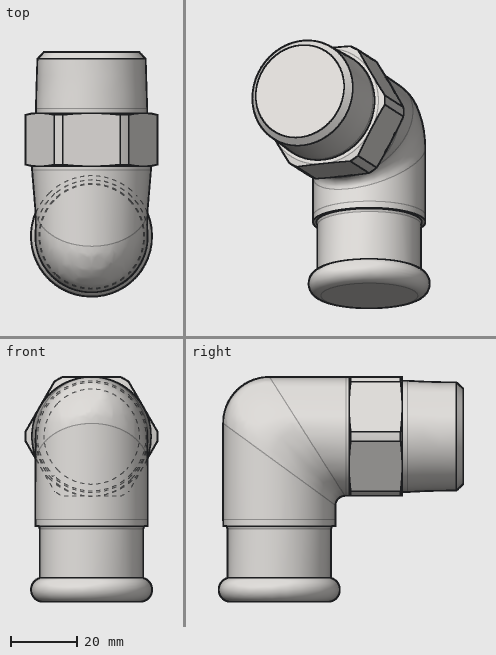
import cadquery as cq
import math


MALE_END_Y = 55.6
THREAD_LENGTH = 18.5
THREAD_RUNOUT = 1.5
THREAD_DIAMETER = 33.7
THREAD_START_DIAMETER = 32.8
MALE_END_DIAMETER = 28.8
MALE_CHAMFER_LENGTH = 2.1

HEX_FRONT_Y = MALE_END_Y - THREAD_LENGTH
HEX_LENGTH = 16.0
HEX_BACK_Y = HEX_FRONT_Y - HEX_LENGTH
HEX_ACROSS_FLATS = 36.0
HEX_TURNED_DIAMETER = 40.0
HEX_CHAMFER_LENGTH = 0.5

COLLAR_DIAMETER = 36.0
COLLAR_LENGTH = 1.1
COLLAR_BACK_Y = HEX_BACK_Y - COLLAR_LENGTH
LEG_DIAMETER = 34.0
OUTER_BEND_RADIUS = 14.0
INNER_BEND_RADIUS = 2.8
BEND_STEPS = 6

BODY_RIM_TOP_Z = -25.0
BODY_RIM_BOTTOM_Z = -27.1
WELD_LENGTH = 0.8
WELD_WIDTH = 0.25
TUBE_DIAMETER = 31.4
LEG_END_Z = -50.0
BEAD_DIAMETER = 36.67
BEAD_RADIUS = 3.7


def revolve_about_y(profile):
    """Solid of revolution about Y from (radius, y) points."""
    return cq.Workplane("XY").polyline(profile).close().revolve(360, (0, 0, 0), (0, 1, 0))


def male_branch():
    """Tapered thread envelope with a chamfered tip, plus the collar behind the hexagon."""
    taper_start_y = MALE_END_Y - MALE_CHAMFER_LENGTH
    taper_end_y = HEX_FRONT_Y + THREAD_RUNOUT
    return revolve_about_y([
        (0, COLLAR_BACK_Y),
        (COLLAR_DIAMETER / 2, COLLAR_BACK_Y),
        (COLLAR_DIAMETER / 2, HEX_BACK_Y),
        (THREAD_DIAMETER / 2, HEX_BACK_Y),
        (THREAD_DIAMETER / 2, taper_end_y),
        (THREAD_START_DIAMETER / 2, taper_start_y),
        (MALE_END_DIAMETER / 2, MALE_END_Y),
        (0, MALE_END_Y),
    ])


def hexagon():
    """Wrench hexagon with turned corners and shallow conical ends."""
    across_corners = HEX_ACROSS_FLATS / math.cos(math.pi / 6)
    prism = (
        cq.Workplane("XZ", origin=(0, HEX_FRONT_Y, 0))
        .polygon(6, across_corners)
        .extrude(HEX_LENGTH)
    )
    face_radius = HEX_ACROSS_FLATS / 2
    turned_radius = HEX_TURNED_DIAMETER / 2
    turned_blank = revolve_about_y([
        (0, HEX_BACK_Y),
        (face_radius, HEX_BACK_Y),
        (turned_radius, HEX_BACK_Y + HEX_CHAMFER_LENGTH),
        (turned_radius, HEX_FRONT_Y - HEX_CHAMFER_LENGTH),
        (face_radius, HEX_FRONT_Y),
        (0, HEX_FRONT_Y),
    ])
    return prism.intersect(turned_blank)


def elbow_section(outer_point, inner_point, width):
    """Ellipse across the bend, spanning two (y, z) points, with the given width along X."""
    span_y = outer_point[0] - inner_point[0]
    span_z = outer_point[1] - inner_point[1]
    centre = cq.Vector(
        0,
        (outer_point[0] + inner_point[0]) / 2,
        (outer_point[1] + inner_point[1]) / 2,
    )
    span_direction = cq.Vector(0, span_y, span_z).normalized()
    normal = cq.Vector(1, 0, 0).cross(span_direction)
    return cq.Wire.makeEllipse(
        math.hypot(span_y, span_z) / 2, width / 2, centre, normal, span_direction
    )


def arc_point(centre, radius, angle):
    return (centre[0] + radius * math.cos(angle), centre[1] + radius * math.sin(angle))


def elbow_body():
    """Straight run from the collar, bend through a fan of elliptical sections, run to the rim."""
    collar_radius = COLLAR_DIAMETER / 2
    leg_radius = LEG_DIAMETER / 2
    outer_centre = (-leg_radius + OUTER_BEND_RADIUS, collar_radius - OUTER_BEND_RADIUS)
    inner_centre = (leg_radius + INNER_BEND_RADIUS, -collar_radius - INNER_BEND_RADIUS)

    bend_sections = []
    for step in range(BEND_STEPS + 1):
        angle = math.pi / 2 * (1 + step / BEND_STEPS)
        bend_sections.append(elbow_section(
            arc_point(outer_centre, OUTER_BEND_RADIUS, angle),
            arc_point(inner_centre, INNER_BEND_RADIUS, angle),
            LEG_DIAMETER,
        ))
    collar_section = elbow_section(
        (COLLAR_BACK_Y, collar_radius), (COLLAR_BACK_Y, -collar_radius), COLLAR_DIAMETER
    )
    rim_section = elbow_section(
        (-leg_radius, BODY_RIM_TOP_Z), (leg_radius, BODY_RIM_TOP_Z), LEG_DIAMETER
    )
    collar_run = cq.Solid.makeLoft([collar_section, bend_sections[0]], True)
    bend = cq.Solid.makeLoft(bend_sections)
    leg_run = cq.Solid.makeLoft([bend_sections[-1], rim_section], True)
    return cq.Workplane(collar_run).union(cq.Workplane(bend)).union(cq.Workplane(leg_run))


def socket_leg():
    """Rim of the body, weld cone, plain tube and the rounded seal bead at the open end."""
    rim_radius = LEG_DIAMETER / 2
    tube_radius = TUBE_DIAMETER / 2
    bead_radius = BEAD_DIAMETER / 2
    bead_arc_centre = bead_radius - BEAD_RADIUS
    bead_middle_z = LEG_END_Z + BEAD_RADIUS
    bead_top_z = bead_middle_z + math.sqrt(BEAD_RADIUS**2 - (tube_radius - bead_arc_centre)**2)
    return (
        cq.Workplane("XZ")
        .moveTo(0, BODY_RIM_TOP_Z)
        .lineTo(rim_radius, BODY_RIM_TOP_Z)
        .lineTo(rim_radius, BODY_RIM_BOTTOM_Z)
        .lineTo(tube_radius + WELD_WIDTH, BODY_RIM_BOTTOM_Z)
        .lineTo(tube_radius, BODY_RIM_BOTTOM_Z - WELD_LENGTH)
        .lineTo(tube_radius, bead_top_z)
        .threePointArc((bead_radius, bead_middle_z), (bead_arc_centre, LEG_END_Z))
        .lineTo(0, LEG_END_Z)
        .close()
        .revolve(360, (0, 0, 0), (0, 1, 0))
    )


result = male_branch().union(hexagon()).union(elbow_body()).union(socket_leg())